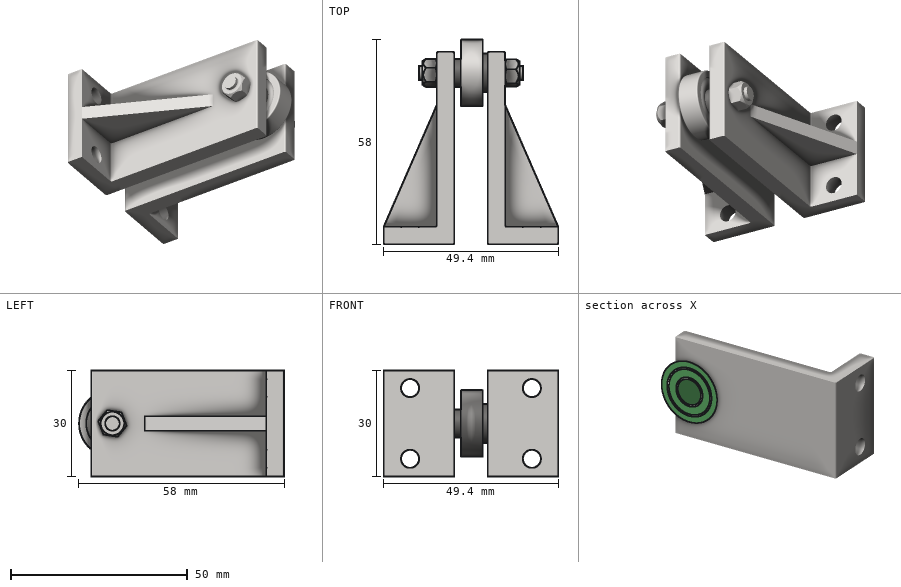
import cadquery as cq
import math


bracket_gap = 9.4
flange_width = 20.0
bracket_length = 54.5
bracket_height = 30.0
wall = 5.0
corner_radius = 0.5
rib_thickness = 4.0
rib_reach = 39.4
mount_hole_diameter = 5.05
mount_hole_edge_distance = 7.5
mount_hole_spacing = 20.0

stud_diameter = 4.05
shoulder_diameter = 8.0
stud_overhang = 5.05

roller_clearance = 1.85
roller_tip_y = 57.95
roller_width = 6.2
roller_diameter = 18.95
roller_edge_radius = 0.35
roller_lip_diameter = 14.9
roller_bulge_height = 0.65

spacer_diameter = 11.1

nut_height = 4.05
nut_across_flats = 7.0
nut_face_diameter = 6.6
nut_chamfer_angle = 55
nut_seat_chamfer = 0.35
left_nut_turn = 9
right_nut_turn = 15

axle_y = roller_tip_y - roller_diameter / 2
inner_x = bracket_gap / 2
web_outer_x = inner_x + wall
flange_tip_x = inner_x + flange_width
roller_left_x = roller_clearance - inner_x
roller_right_x = roller_left_x + roller_width


def axle_cylinder(diameter, start_x, end_x):
    """Cylinder on the axle line between two X positions."""
    plane = cq.Workplane("YZ", origin=(start_x, axle_y, 0))
    return plane.circle(diameter / 2).extrude(end_x - start_x)


def make_right_bracket():
    """L-shaped bracket with a triangular rib, standing on the +X side."""
    outline = [
        (inner_x, 0),
        (flange_tip_x, 0),
        (flange_tip_x, wall),
        (web_outer_x, wall),
        (web_outer_x, bracket_length),
        (inner_x, bracket_length),
    ]
    body = cq.Workplane("XY").polyline(outline).close().extrude(bracket_height / 2, both=True)

    sharp_tip = cq.selectors.NearestToPointSelector((flange_tip_x, wall, 0))
    body = body.edges(cq.selectors.SubtractSelector(cq.StringSyntaxSelector("|Z"), sharp_tip))
    body = body.fillet(corner_radius)

    rib_outline = [
        (inner_x + wall / 2, wall / 2),
        (inner_x + wall / 2, rib_reach),
        (web_outer_x, rib_reach),
        (flange_tip_x, wall),
        (flange_tip_x - wall / 2, wall / 2),
    ]
    rib = cq.Workplane("XY").polyline(rib_outline).close().extrude(rib_thickness / 2, both=True)
    body = body.union(rib)

    hole_x = flange_tip_x - mount_hole_edge_distance
    for side in (-1, 1):
        hole_plane = cq.Workplane("XZ", origin=(hole_x, 0, side * mount_hole_spacing / 2))
        body = body.cut(hole_plane.circle(mount_hole_diameter / 2).extrude(-wall))

    return body.cut(axle_cylinder(stud_diameter, inner_x, web_outer_x))


def make_stud():
    """Stud with a shoulder that fills the gap between the brackets."""
    stud_end_x = web_outer_x + stud_overhang
    stud = axle_cylinder(stud_diameter, -stud_end_x, stud_end_x)
    return stud.union(axle_cylinder(shoulder_diameter, -inner_x, inner_x))


def make_roller():
    """Roller with a flat rim on each face and a bulged ring sunk inside it."""
    half_width = roller_width / 2
    bore_radius = shoulder_diameter / 2
    lip_radius = roller_lip_diameter / 2
    outer_radius = roller_diameter / 2
    crest_radius = (bore_radius + lip_radius) / 2
    sunk = half_width - roller_bulge_height
    profile = (
        cq.Workplane("XY")
        .moveTo(-sunk, bore_radius)
        .threePointArc((-half_width, crest_radius), (-sunk, lip_radius))
        .lineTo(-half_width, lip_radius)
        .lineTo(-half_width, outer_radius)
        .lineTo(half_width, outer_radius)
        .lineTo(half_width, lip_radius)
        .lineTo(sunk, lip_radius)
        .threePointArc((half_width, crest_radius), (sunk, bore_radius))
        .close()
    )
    roller = profile.revolve(360, (0, 0, 0), (1, 0, 0))
    rim = cq.selectors.RadiusNthSelector(-1)
    roller = roller.edges("%CIRCLE").edges(rim).fillet(roller_edge_radius)
    return roller.translate((roller_left_x + half_width, axle_y, 0))


def make_spacer():
    """Plain ring between the roller and the right bracket."""
    ring = axle_cylinder(spacer_diameter, roller_right_x, inner_x)
    return ring.cut(axle_cylinder(shoulder_diameter, roller_right_x, inner_x))


def make_nut(side, turn):
    """Hexagon nut seated on the outer face of one web, with cone-trimmed corners on both ends."""
    hexagon_radius = nut_across_flats / math.sqrt(3)
    face_radius = nut_face_diameter / 2
    end_chamfer = (hexagon_radius - face_radius) * math.tan(math.radians(nut_chamfer_angle))
    hexagon = (
        cq.Workplane("YZ")
        .polygon(6, 2 * hexagon_radius)
        .circle(stud_diameter / 2)
        .extrude(nut_height)
    )
    trim_profile = [
        (0, 0),
        (0, nut_across_flats / 2),
        (nut_seat_chamfer, hexagon_radius),
        (nut_height - end_chamfer, hexagon_radius),
        (nut_height, face_radius),
        (nut_height, 0),
    ]
    trim = cq.Workplane("XY").polyline(trim_profile).close().revolve(360, (0, 0, 0), (1, 0, 0))
    nut = hexagon.intersect(trim).rotate((0, 0, 0), (1, 0, 0), turn)
    if side < 0:
        nut = nut.mirror("YZ")
    return nut.translate((side * web_outer_x, axle_y, 0))


right_bracket = make_right_bracket()
left_bracket = right_bracket.mirror("YZ")
stud = make_stud()
roller = make_roller()
spacer = make_spacer()
nuts = [make_nut(side, turn) for side, turn in ((-1, left_nut_turn), (1, right_nut_turn))]

result = cq.Compound.makeCompound(
    [
        left_bracket.val(),
        right_bracket.val(),
        stud.val(),
        roller.val(),
        spacer.val(),
        *[nut.val() for nut in nuts],
    ]
)